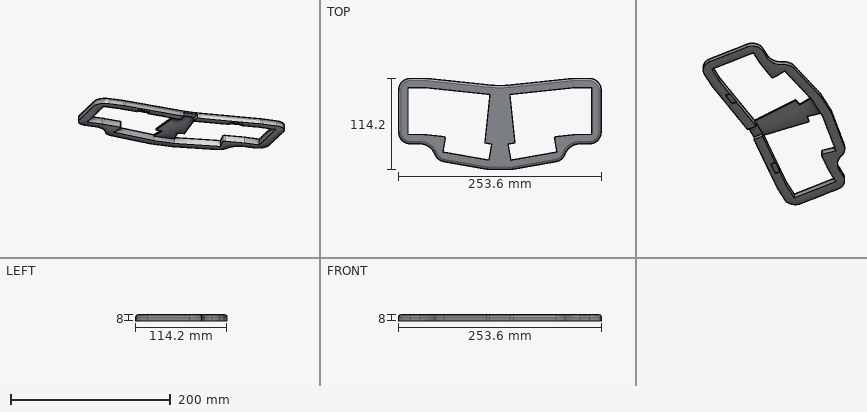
import cadquery as cq
import math

width = 253.55
depth = 114.17
height = 8.0
rim = 12.0
top_fillet = 3.0
web_thickness = 2.0
corner_radius = 15.0
bend_radius = 25.0
hollow_radius = 20.0
ledge_fillet = 2.5

key_angle = math.radians(6)
key_tan = math.tan(key_angle)
key_half_tan = math.tan(key_angle / 2)
thumb_angle = math.radians(10)
thumb_tan = math.tan(thumb_angle)
thumb_half_tan = math.tan(thumb_angle / 2)

key_block = 58.15
thumb_block_height = 20.05

x_side = width / 2
y_back = depth / 2
y_front = -depth / 2
y_wing = y_back - rim - key_block
y_wing_outer = y_wing - rim
x_back_bend = 91.5
x_back_middle = 12.6
x_front_bend = 14.9
x_shoulder = 70.0

x_inner_side = x_side - rim
y_inner_back = y_back - rim
x_inner_back_bend = x_back_bend + rim * key_half_tan
y_back_middle = y_back - key_tan * (x_back_bend - x_back_middle)
back_curve_sag = x_back_middle * key_half_tan
y_inner_back_middle = y_inner_back - key_tan * (x_inner_back_bend - x_back_middle)
x_ledge_bend = x_inner_back_bend + key_block * key_half_tan
y_inner_front = y_front + rim
x_inner_front = x_front_bend - rim * thumb_half_tan

x_thumb_outer = x_inner_front + key_block * math.cos(thumb_angle)
y_thumb_outer = y_inner_front + key_block * math.sin(thumb_angle)

port_width = 18.0
port_height = 5.0

recess_x_start = 54.0
recess_x_end = 69.5
recess_height = 1.0
recess_reach = rim / 2


def mirrored(points):
    """Complete a right-half outline, listed from back to front, into a closed loop."""
    return points + [(-x, y) for x, y in reversed(points)]


def crossing(p, slope_p, q, slope_q):
    """Meeting point of two lines, each given by a point and its slope dy/dx."""
    x = (q[1] - p[1] + slope_p * p[0] - slope_q * q[0]) / (slope_p - slope_q)
    return x, p[1] + slope_p * (x - p[0])


def fillet_at_x(solid, x_edge, radius):
    """Round the vertical edges that lie at a given distance either side of the middle."""
    tolerance = 0.01

    def edges_near(x):
        low = (x - tolerance, -depth, -height)
        high = (x + tolerance, depth, 2 * height)
        return cq.selectors.BoxSelector(low, high)

    return solid.edges(edges_near(x_edge) + edges_near(-x_edge)).edges("|Z").fillet(radius)


def make_blank():
    """Solid outline with rounded corners, S-shaped shoulders and a rounded top edge."""
    y_shoulder = y_front + thumb_tan * (x_shoulder - x_front_bend)
    shoulder_center = (
        x_shoulder - corner_radius * math.sin(thumb_angle),
        y_shoulder + corner_radius * math.cos(thumb_angle),
    )
    hollow_y = y_wing_outer - hollow_radius
    reach = corner_radius + hollow_radius
    drop = shoulder_center[1] - hollow_y
    run = math.sqrt(reach**2 - drop**2)
    hollow_center = (shoulder_center[0] + run, hollow_y)
    joint_angle = math.atan2(-drop, run)

    def on_arc(center, radius, angle):
        return center[0] + radius * math.cos(angle), center[1] + radius * math.sin(angle)

    joint = on_arc(shoulder_center, corner_radius, joint_angle)
    hollow_start = (hollow_center[0], y_wing_outer)
    hollow_mid_angle = (math.pi / 2 + joint_angle + math.pi) / 2
    hollow_mid = on_arc(hollow_center, hollow_radius, hollow_mid_angle)
    shoulder_end_angle = thumb_angle - math.pi / 2
    shoulder_mid = on_arc(shoulder_center, corner_radius, (joint_angle + shoulder_end_angle) / 2)

    def flip(point):
        return -point[0], point[1]

    blank = (
        cq.Workplane("XY")
        .moveTo(-x_back_middle, y_back_middle)
        .threePointArc((0, y_back_middle - back_curve_sag), (x_back_middle, y_back_middle))
        .lineTo(x_back_bend, y_back)
        .lineTo(x_side, y_back)
        .lineTo(x_side, y_wing_outer)
        .lineTo(*hollow_start)
        .threePointArc(hollow_mid, joint)
        .threePointArc(shoulder_mid, (x_shoulder, y_shoulder))
        .lineTo(x_front_bend, y_front)
        .lineTo(-x_front_bend, y_front)
        .lineTo(-x_shoulder, y_shoulder)
        .threePointArc(flip(shoulder_mid), flip(joint))
        .threePointArc(flip(hollow_mid), flip(hollow_start))
        .lineTo(-x_side, y_wing_outer)
        .lineTo(-x_side, y_back)
        .lineTo(-x_back_bend, y_back)
        .close()
        .extrude(height)
    )
    blank = fillet_at_x(blank, x_side, corner_radius)
    for x_bend in (x_back_bend, x_front_bend):
        blank = fillet_at_x(blank, x_bend, bend_radius)
    return blank.faces(">Z").edges().fillet(top_fillet)


def make_cavity():
    """Full-height void inside the rim, spanning both openings and the space under the web."""
    ledge_corner = crossing(
        (x_ledge_bend, y_wing), key_tan, (x_thumb_outer, y_thumb_outer), -1 / thumb_tan
    )
    half = [
        (x_back_middle, y_inner_back_middle),
        (x_inner_back_bend, y_inner_back),
        (x_inner_side, y_inner_back),
        (x_inner_side, y_wing),
        (x_ledge_bend, y_wing),
        ledge_corner,
        (x_thumb_outer, y_thumb_outer),
        (x_inner_front, y_inner_front),
    ]
    curve_middle = (0, y_inner_back_middle - back_curve_sag)
    outline = cq.Workplane("XY").polyline(mirrored(half)).threePointArc(curve_middle, half[0])
    cavity = outline.close().extrude(height)
    cavity = fillet_at_x(cavity, x_inner_back_bend, bend_radius - rim)
    return fillet_at_x(cavity, ledge_corner[0], ledge_fillet)


def make_web():
    """Thin central plate, flush with the top, tapering and stepped to a narrower neck."""
    step_level = y_inner_front + thumb_block_height / math.cos(thumb_angle)
    step_line = (x_inner_front, step_level)
    back_corner = (x_back_middle, y_inner_back_middle)
    front_corner = (x_inner_front, y_inner_front)
    half = [
        (x_back_middle, y_back_middle - rim / 2),
        back_corner,
        crossing(back_corner, -1 / key_tan, step_line, thumb_tan),
        crossing(front_corner, -1 / thumb_tan, step_line, thumb_tan),
        front_corner,
        (x_inner_front, y_front + rim / 2),
    ]
    plate = cq.Workplane("XY").workplane(offset=height - web_thickness)
    return plate.polyline(mirrored(half)).close().extrude(web_thickness)


def make_recess():
    """Shallow underside pocket that follows the tilted back wall of the right opening."""
    def wall_y(x):
        return y_inner_back - key_tan * (x_inner_back_bend - x)

    corners = [
        (recess_x_start, wall_y(recess_x_start) - recess_reach),
        (recess_x_end, wall_y(recess_x_end) - recess_reach),
        (recess_x_end, wall_y(recess_x_end) + recess_reach),
        (recess_x_start, wall_y(recess_x_start) + recess_reach),
    ]
    return cq.Workplane("XY").polyline(corners).close().extrude(recess_height)


def make_port():
    """Block that clears the cable port between the cavity and the outside."""
    port_depth = 2 * rim
    port = cq.Workplane("XY").box(port_width, port_depth, port_height, centered=(True, True, False))
    return port.translate((0, (y_back_middle + y_inner_back_middle) / 2, 0))


recess = make_recess()
result = make_blank().cut(make_cavity()).union(make_web())
result = result.cut(make_port()).cut(recess).cut(recess.mirror("YZ"))